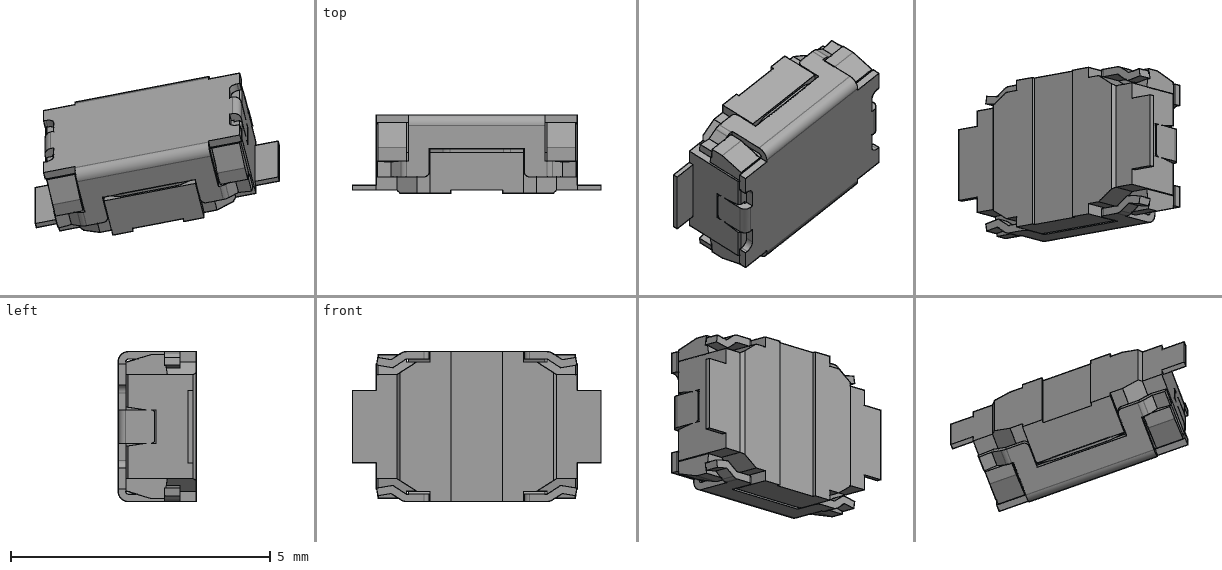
import cadquery as cq
import math


total_width = 4.8
total_depth = 1.51
total_height = 2.9
half_top = total_height / 2

sheet = 0.15
cover_half_width = 1.32
cover_underside = half_top - sheet
back_bend_radius = 0.2
body_half_width = 1.94
wing_half_height = 1.205
relief_top = 0.8
relief_depth = 0.2
relief_radius = 0.15
clip_half_height = 0.32
clip_end = 0.705
clip_corner = 0.06
clip_bend_radius = 0.145

tab_back = 0.895
flange_front = 1.195
notch_half_width = 0.915
notch_back = 0.65
notch_corner = 0.1
tab_bend_x = 1.41
tab_valley_x = 1.65
tab_tip_x = 1.91
tab_valley_z = 1.29
tab_tip_z = 1.335
tab_bend_radius = 0.2

body_half_height = 1.005
body_front = 1.45
body_back_chamfer = 0.045
core_half_height = 1.25
shoulder_half_width = 1.155
ridge_half_width = 1.54
ridge_chamfer = total_depth - body_front
pad_half_width = 0.9
pad_back = 0.73
groove_half_width = 0.5

rib_back = 0.66
rib_top = 1.4
rib_crest_half_width = 0.585
rib_crest_radius = 0.3

block_inner = 1.355
block_outer = 1.9
block_back_z = 1.245
block_top = 1.385
block_flat_start = 0.635
block_foot_y = 0.95

pocket_end = 0.735
pocket_mouth_half_height = 0.38
pocket_taper_end = 0.54

terminal_half_height = 0.7
terminal_thickness = 0.095


def box(x0, x1, y0, y1, z0, z1):
    return cq.Workplane("XY").box(x1 - x0, y1 - y0, z1 - z0, centered=False).translate((x0, y0, z0))


def centered_box(half_width, y0, y1, half_height):
    return box(-half_width, half_width, y0, y1, -half_height, half_height)


def extrude_y(points, y0, y1):
    """Extrude an (x, z) outline from depth y0 to depth y1."""
    return cq.Workplane("XZ", origin=(0, y0, 0)).polyline(points).close().extrude(y0 - y1)


def extrude_x(points, x0, x1):
    """Extrude a (y, z) outline from x0 to x1."""
    return cq.Workplane("YZ", origin=(x0, 0, 0)).polyline(points).close().extrude(x1 - x0)


def extrude_z(points, half_height):
    """Extrude an (x, y) outline symmetrically about Z = 0."""
    return cq.Workplane("XY").polyline(points).close().extrude(half_height, both=True)


def both_ends(shape):
    return shape.union(shape.mirror("YZ"))


def top_and_bottom(shape):
    return shape.union(shape.mirror("XY"))


def mirror_points(points):
    """Complete a right-hand outline with its mirror image across X = 0."""
    return points + [(-x, other) for x, other in reversed(points)]


def make_body():
    back_half_width = body_half_width - body_back_chamfer
    main = extrude_z(
        mirror_points([
            (body_half_width, body_front),
            (body_half_width, sheet + body_back_chamfer),
            (back_half_width, sheet),
        ]),
        body_half_height,
    )
    core = centered_box(block_inner, sheet, pad_back, core_half_height)
    ridge = extrude_y(
        mirror_points([
            (shoulder_half_width, core_half_height),
            (ridge_half_width, body_half_height),
            (ridge_half_width, -body_half_height),
            (shoulder_half_width, -core_half_height),
        ]),
        pad_back,
        total_depth,
    )
    ridge_plan = extrude_z(
        mirror_points([
            (ridge_half_width - ridge_chamfer, total_depth),
            (ridge_half_width, body_front),
            (ridge_half_width, pad_back),
        ]),
        half_top,
    )
    pads = centered_box(pad_half_width, pad_back, total_depth, half_top)
    groove = centered_box(groove_half_width, body_front, total_depth, half_top)
    return main.union(core).union(ridge.intersect(ridge_plan)).union(pads).cut(groove)


def make_ribs():
    rib = extrude_y(
        mirror_points([(rib_crest_half_width, rib_top), (pad_half_width, core_half_height)]),
        rib_back,
        pad_back,
    )
    rib = rib.edges("|Y and >Z").fillet(rib_crest_radius)
    return top_and_bottom(rib)


def make_corner_blocks():
    """Blocks at the four corners, each with a lower foot that runs inward to the ridge's shoulder."""
    profile = [
        (sheet, 0),
        (sheet, block_back_z),
        (block_flat_start, block_top),
        (tab_back, block_top),
        (block_foot_y, body_half_height),
        (block_foot_y, 0),
    ]
    block = extrude_x(profile, block_inner, block_outer)
    foot = extrude_x(profile, shoulder_half_width, block_inner)
    foot = foot.intersect(centered_box(block_inner, sheet, block_foot_y, block_back_z))
    return both_ends(top_and_bottom(block.union(foot)))


def make_clip_pockets():
    outline = [
        (sheet, pocket_mouth_half_height),
        (pocket_taper_end, clip_half_height),
        (pocket_end, clip_half_height),
    ]
    outline += [(y, -z) for y, z in reversed(outline)]
    pocket = extrude_x(outline, body_half_width - sheet, body_half_width)
    return both_ends(pocket)


def make_terminals():
    return centered_box(total_width / 2, body_front - terminal_thickness, body_front, terminal_half_height)


def make_cover_shell():
    """Back wall with its rounded bends and the top and bottom walls, notched at the front."""
    outer = centered_box(cover_half_width, 0, flange_front, half_top)
    outer = outer.edges("|X and <Y").fillet(back_bend_radius)
    inner = centered_box(cover_half_width, sheet, flange_front, cover_underside)
    inner = inner.edges("|X and <Y").fillet(back_bend_radius - sheet)
    notch = centered_box(notch_half_width, notch_back, flange_front, half_top)
    shell = outer.cut(inner).cut(notch)
    corner_zone = cq.selectors.BoxSelector(
        (-cover_half_width + notch_corner, tab_back, -half_top),
        (cover_half_width - notch_corner, flange_front + notch_corner, half_top),
    )
    return shell.edges("|Z").edges(corner_zone).fillet(notch_corner)


def make_wings():
    """Back wall beyond the bends, cut back at each end to leave room for the clip."""
    wings = centered_box(body_half_width, 0, sheet, wing_half_height)
    relief = box(body_half_width - relief_depth, body_half_width, 0, sheet, -relief_top, relief_top)
    relief = relief.edges("|Y and <X").fillet(relief_radius)
    return wings.cut(both_ends(relief))


def make_clips():
    """Straps that fold forward from the back wall into the clip pockets."""
    clip_inner = body_half_width - sheet
    clip = box(clip_inner, body_half_width, 0, clip_end, -clip_half_height, clip_half_height)
    clip = clip.edges("|X and >Y").fillet(clip_corner)
    clip = clip.edges("|Z and <Y and >X").fillet(clip_bend_radius)
    root = box(body_half_width - relief_depth, clip_inner, 0, sheet, -clip_half_height, clip_half_height)
    return both_ends(clip.union(root))


def make_tabs():
    """Strips of the flanges bent inward at a slope and then outward at the tip."""
    bend = (tab_bend_x, half_top)
    valley = (tab_valley_x, tab_valley_z)
    tip = (tab_tip_x, tab_tip_z)
    slope_angle = math.atan2(valley[1] - bend[1], valley[0] - bend[0])
    tip_angle = math.atan2(tip[1] - valley[1], tip[0] - valley[0])

    def inner_point(point, angle_before, angle_after):
        mitre = sheet / math.cos((angle_after - angle_before) / 2)
        direction = (angle_before + angle_after) / 2
        return (point[0] + mitre * math.sin(direction), point[1] - mitre * math.cos(direction))

    root_x = cover_half_width - sheet
    outline = [
        (root_x, half_top),
        bend,
        valley,
        tip,
        inner_point(tip, tip_angle, tip_angle),
        inner_point(valley, slope_angle, tip_angle),
        inner_point(bend, 0, slope_angle),
        (root_x, cover_underside),
    ]
    tab = extrude_y(outline, tab_back, flange_front)
    bend_edge = cq.selectors.NearestToPointSelector((bend[0], (tab_back + flange_front) / 2, bend[1]))
    tab = tab.edges("|Y").edges(bend_edge).fillet(tab_bend_radius)
    return both_ends(top_and_bottom(tab))


body = make_body().union(make_ribs()).union(make_corner_blocks()).cut(make_clip_pockets())
cover = make_cover_shell().union(make_wings()).union(make_clips()).union(make_tabs())
result = body.union(make_terminals()).union(cover)
result = result.translate((0, -total_depth / 2, 0)).rotate((0, 0, 0), (0, 0, 1), 180)